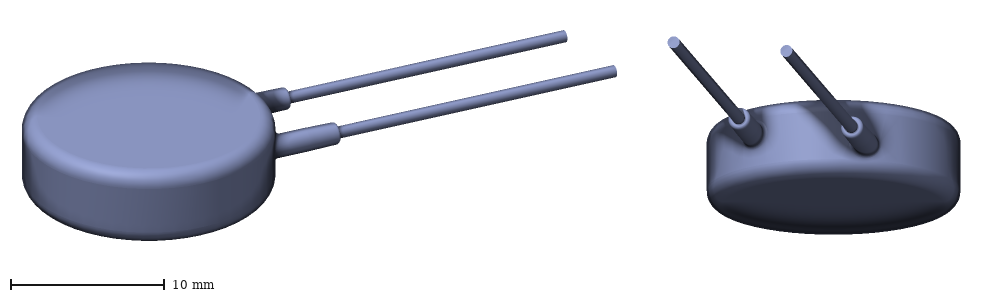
import cadquery as cq

body_diameter = 16.5
body_height = 5.2
body_edge_radius = 1.0

overall_length = 40.0
lead_pitch = 7.5
lead_stagger = 1.0
wire_diameter = 0.8

sleeve_diameter = 1.55
sleeve_tip_diameter = 1.48
sleeve_taper_start = 9.5
sleeve_end = 11.75
sleeve_edge_radius = 0.2
sleeve_root = 5.0
sleeve_blend_radius = 0.2

body_radius = body_diameter / 2
wire_end = overall_length - body_radius


def make_body():
    bottom_plane = cq.Workplane("XY").workplane(offset=-body_height / 2)
    disc = bottom_plane.circle(body_radius).extrude(body_height)
    return disc.faces("<Z or >Z").edges().fillet(body_edge_radius)


def make_lead(x, z):
    """Wire and sleeve as one turned piece, rooted inside the body."""
    wire_radius = wire_diameter / 2
    half_profile = (
        cq.Workplane("XY")
        .moveTo(0, sleeve_root)
        .lineTo(sleeve_diameter / 2, sleeve_root)
        .lineTo(sleeve_diameter / 2, sleeve_taper_start)
        .lineTo(sleeve_tip_diameter / 2, sleeve_end - sleeve_edge_radius)
        .radiusArc((sleeve_tip_diameter / 2 - sleeve_edge_radius, sleeve_end), -sleeve_edge_radius)
        .lineTo(wire_radius, sleeve_end)
        .lineTo(wire_radius, wire_end)
        .lineTo(0, wire_end)
        .close()
    )
    lead = half_profile.revolve(360, (0, 0, 0), (0, 1, 0))
    return lead.translate((x, 0, z))


def blend_sleeves(part):
    """Fillet the seam where each sleeve enters the wall of the body."""
    seam_zone = cq.selectors.BoxSelector(
        (-lead_pitch, sleeve_root, -sleeve_diameter),
        (lead_pitch, body_radius, sleeve_diameter),
    )
    return part.edges(seam_zone).fillet(sleeve_blend_radius)


result = make_body()
for side in (-1, 1):
    result = result.union(make_lead(side * lead_pitch / 2, side * lead_stagger / 2))
result = blend_sleeves(result)